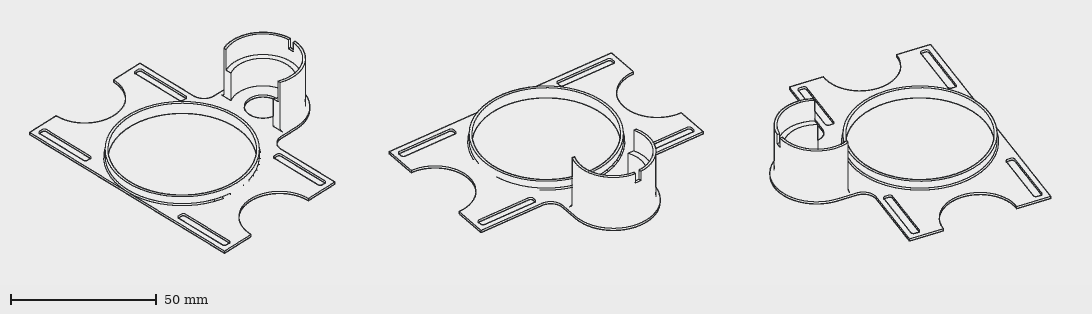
import cadquery as cq
import math

plate_length = 94.0
plate_width = 54.0
plate_thickness = 1.0
side_cutout_radius = 14.0

slot_length = 23.0
slot_width = 3.2
slot_corner_radius = 1.0
slot_margin = 2.0

overall_width = 82.62
tab_radius = 16.12
tab_root_radius = 5.0
tab_center_y = overall_width - plate_width / 2 - tab_radius
tab_hole_diameter = 12.87

ring_outer_diameter = 53.0
ring_inner_diameter = 51.0
ring_top = 4.5
ring_root_radius = (plate_width - ring_outer_diameter) / 2

tower_top = 22.0
tower_flare_margin = 0.5
tower_root_radius = 1.0
tower_outer_radius = tab_radius - tower_flare_margin - tower_root_radius
tower_bore_radius = 11.5
tower_rim_thickness = 1.0
tower_counterbore_radius = tower_outer_radius - tower_rim_thickness
tower_counterbore_floor = 13.0
tower_front_offset = 5.4
tower_front_y = tab_center_y - tower_front_offset

notch_width = 2.2
notch_depth = 4.0


def cylinder(radius, bottom, top, center_y=0.0):
    """Upright cylinder centered on the YZ plane of symmetry."""
    return (
        cq.Workplane("XY", origin=(0, center_y, bottom))
        .circle(radius)
        .extrude(top - bottom)
    )


def flared_post(radius, root_radius, top, center_y):
    """Upright post with a concave fillet where it meets the plate."""
    flare_top = plate_thickness + root_radius
    arc_inset = root_radius * (1 - math.sqrt(0.5))
    profile = (
        cq.Workplane("XZ")
        .moveTo(0, plate_thickness)
        .lineTo(radius + root_radius, plate_thickness)
        .threePointArc((radius + arc_inset, plate_thickness + arc_inset), (radius, flare_top))
        .lineTo(radius, top)
        .lineTo(0, top)
        .close()
    )
    return profile.revolve(360, (0, 0, 0), (0, 1, 0)).translate((0, center_y, 0))


def make_plate():
    """Rectangular plate with the rounded tab, blended at its two inner corners."""
    plate = cq.Workplane("XY").box(plate_length, plate_width, plate_thickness, centered=(True, True, False))
    tab_neck = (
        cq.Workplane("XY")
        .center(0, tab_center_y / 2)
        .rect(2 * tab_radius, tab_center_y)
        .extrude(plate_thickness)
    )
    plate = plate.union(tab_neck)
    for side in (-1, 1):
        inner_corner = cq.selectors.NearestToPointSelector(
            (side * tab_radius, plate_width / 2, plate_thickness / 2)
        )
        plate = plate.edges("|Z").edges(inner_corner).fillet(tab_root_radius)
    return plate.union(cylinder(tab_radius, 0, plate_thickness, tab_center_y))


def cut_plate_sides(plate):
    """Half-round cutouts in the two short edges."""
    cutouts = (
        cq.Workplane("XY")
        .pushPoints([(-plate_length / 2, 0), (plate_length / 2, 0)])
        .circle(side_cutout_radius)
        .extrude(plate_thickness)
    )
    return plate.cut(cutouts)


def cut_slots(plate):
    """Four round-cornered slots along the long edges."""
    spacing_x = plate_length - 2 * slot_margin - slot_length
    spacing_y = plate_width - 2 * slot_margin - slot_width
    slots = (
        cq.Workplane("XY")
        .rarray(spacing_x, spacing_y, 2, 2)
        .rect(slot_length, slot_width)
        .extrude(plate_thickness)
        .edges("|Z")
        .fillet(slot_corner_radius)
    )
    return plate.cut(slots)


def make_tower():
    """Stepped cup wall, open toward the plate and notched at the back."""
    tower = flared_post(tower_outer_radius, tower_root_radius, tower_top, tab_center_y)
    tower = tower.cut(cylinder(tower_bore_radius, plate_thickness, tower_top, tab_center_y))
    tower = tower.cut(cylinder(tower_counterbore_radius, tower_counterbore_floor, tower_top, tab_center_y))
    front_opening = cq.Workplane("XY").box(
        plate_length, 2 * tower_front_y, tower_top, centered=(True, True, False)
    )
    notch = (
        cq.Workplane("XY", origin=(0, tab_center_y + tab_radius / 2, tower_top - notch_depth))
        .rect(notch_width, tab_radius)
        .extrude(notch_depth)
    )
    return tower.cut(front_opening).cut(notch)


ring = flared_post(ring_outer_diameter / 2, ring_root_radius, ring_top, 0)
main_opening = cylinder(ring_inner_diameter / 2, 0, ring_top)
tab_hole = cylinder(tab_hole_diameter / 2, 0, plate_thickness, tab_center_y)

plate = cut_slots(cut_plate_sides(make_plate()))
result = plate.union(ring).union(make_tower()).cut(main_opening).cut(tab_hole)